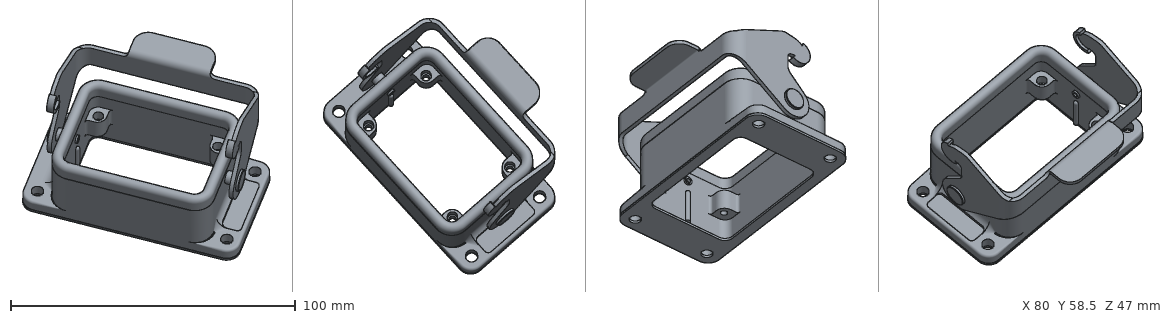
import cadquery as cq
import math

BASE_LENGTH = 80.0
BASE_WIDTH = 43.0
BASE_CORNER_RADIUS = 5.0
SKIRT = 0.2

BASE_SEAL_THICKNESS = 1.0
FLANGE_TOP = 5.0
FLANGE_ROUND = 1.0
MOUNT_HOLE_DIAMETER = 4.3
MOUNT_HOLE_X = 35.0
MOUNT_HOLE_Y = 16.0

WALL_TOP = 23.0
WALL_HALF_X = 29.7
WALL_HALF_Y = BASE_WIDTH / 2 - SKIRT
WALL_CORNER_RADIUS = 6.9

RIM_HALF_X = 29.8
RIM_HALF_Y = BASE_WIDTH / 2
RIM_WIDTH = 4.0
RIM_TOP = 28.6
RIM_CORNER_RADIUS = 7.4

CAVITY_HALF_X = RIM_HALF_X - RIM_WIDTH
CAVITY_HALF_Y = RIM_HALF_Y - RIM_WIDTH
CAVITY_CORNER_RADIUS = RIM_CORNER_RADIUS - RIM_WIDTH

BOSS_X = 22.1
BOSS_Y = 13.5
BOSS_RADIUS = 3.5
BOSS_HOLE_INSET = 3.0
BOSS_ROOT_RADIUS = 1.0
BOSS_TOP = 17.1
BOSS_HEIGHT = 8.0
BOSS_HOLE_DIAMETER = 2.5
BOSS_RECESS_DIAMETER = 3.7
BOSS_RECESS_DEPTH = 4.0

GUSSET_RADIUS = 5.0
GUSSET_HALF_WIDTH = 11.6
GUSSET_END_HALF_WIDTH = WALL_HALF_Y - WALL_CORNER_RADIUS
BLEND_RADIUS = 0.5
BLEND_STEPS = 6

PAD_INNER_X = 31.4
PAD_OUTER_X = 38.4
PAD_HALF_WIDTH = 11.4
PAD_CORNER_RADIUS = 1.6
PAD_HEIGHT = 0.2

RIB_RADIUS = 1.0
RIB_REACH = 1.2
RIB_TOP = 14.5

PIVOT_Z = 18.9
PIN_DIAMETER = 4.8
PIN_SHOULDER_CHAMFER = 0.6
PIN_SHOULDER_STEP = 0.2
PIN_HEAD_DIAMETER = 8.0
PIN_HEAD_THICKNESS = 1.0
PIN_HEAD_CHAMFER = 0.2
PIN_NECK_DIAMETER = 3.0
PIN_NECK_REACH = 0.7
PIN_END_HOLE_DIAMETER = 1.6
PIN_END_HOLE_DEPTH = 1.2

SHEET = 1.5
LEVER_HALF_X = 34.3
LEVER_BACK_Y = 27.0
LEVER_BEND_RADIUS = 6.0
BEND_EDGE_STEPS = 6
STRIP_BOTTOM = 29.2
STRIP_TOP = 38.4
PIVOT_EYE_RADIUS = 7.0
TOP_SLOPE_END = (4.3, 47.2)
TOP_SLOPE_START_Y = 24.6
SHOULDER_ROUND = 5.0
BROW_START = (-1.0, 46.3)
BROW_MIDDLE = (-2.9, 45.4)
HOOK_Y = -2.9
HOOK_Z = 41.4
HOOK_RADIUS = 4.7
HOOK_INNER_RADIUS = 3.4
HOOK_TOP_ANGLE = 70.0
MOUTH_TOP = 38.7
MOUTH_BACK_Y = 2.4
MOUTH_RADIUS = 1.8
MOUTH_LOWER_ROUND = 4.0
LIP_DEPTH = 2.6

TAB_HALF_X = 15.0
TAB_END_Y = 37.0
TAB_CORNER_RADIUS = 5.6
TAB_BEND_INNER_RADIUS = 0.5
TAB_BEND_OUTER_RADIUS = 2.5
TAB_TOP = STRIP_TOP + TAB_BEND_OUTER_RADIUS
TAB_FLARE_RADIUS = 2.2


def block(half_x, half_y, z_low, z_high, corner_radius):
    """Upright block centred on Z with rounded vertical corners."""
    return (
        cq.Workplane("XY").workplane(offset=z_low)
        .rect(2 * half_x, 2 * half_y).extrude(z_high - z_low)
        .edges("|Z").fillet(corner_radius)
    )


def cavity(z_low, z_high):
    return block(CAVITY_HALF_X, CAVITY_HALF_Y, z_low, z_high, CAVITY_CORNER_RADIUS)


def mount_holes():
    return (
        cq.Workplane("XY").rect(2 * MOUNT_HOLE_X, 2 * MOUNT_HOLE_Y, forConstruction=True)
        .vertices().circle(MOUNT_HOLE_DIAMETER / 2).extrude(FLANGE_TOP + PAD_HEIGHT)
    )


def pivot_cylinder(diameter):
    """Cylinder along the pivot axis, across the whole part."""
    return (
        cq.Workplane("YZ").center(0, PIVOT_Z)
        .circle(diameter / 2).extrude(BASE_LENGTH / 2, both=True)
    )


def four_corners(shape):
    """The shape and its mirror images in the other three quadrants."""
    pair = [shape, shape.mirror("YZ")]
    return pair + [each.mirror("XZ") for each in pair]


def point_loft(profiles, tip):
    """Solid with straight edges through closed profile wires to a single tip point."""
    point = cq.Vertex.makeVertex(*tip)
    return cq.Workplane(cq.occ_impl.shapes.loft(*profiles, point, cap=True, ruled=True))


def make_base_seal():
    seal = block(BASE_LENGTH / 2, BASE_WIDTH / 2, 0, BASE_SEAL_THICKNESS, BASE_CORNER_RADIUS)
    return seal.cut(cavity(0, BASE_SEAL_THICKNESS)).cut(mount_holes())


def flange_taper_cut():
    """Tool that rounds one long flange edge, fading out from the corner to the body."""
    start_x = BASE_LENGTH / 2 - BASE_CORNER_RADIUS
    fade_x = WALL_HALF_X - WALL_CORNER_RADIUS
    profile = (
        cq.Workplane("YZ", origin=(start_x, WALL_HALF_Y, FLANGE_TOP))
        .lineTo(-FLANGE_ROUND, 0)
        .radiusArc((0, -FLANGE_ROUND), FLANGE_ROUND).close().val()
    )
    return point_loft([profile], (fade_x, WALL_HALF_Y, FLANGE_TOP))


def flange_and_walls():
    """Flange with rounded ends whose rounding fades out along the sides, and the walls above."""
    corner_x = BASE_LENGTH / 2 - BASE_CORNER_RADIUS
    plate = block(
        BASE_LENGTH / 2, WALL_HALF_Y, BASE_SEAL_THICKNESS, FLANGE_TOP, BASE_CORNER_RADIUS
    ).faces(">Z").edges().fillet(FLANGE_ROUND)
    middle = (
        cq.Workplane("XY").workplane(offset=BASE_SEAL_THICKNESS)
        .rect(2 * corner_x, 2 * WALL_HALF_Y).extrude(FLANGE_TOP - BASE_SEAL_THICKNESS)
    )
    walls = block(WALL_HALF_X, WALL_HALF_Y, BASE_SEAL_THICKNESS, WALL_TOP, WALL_CORNER_RADIUS)
    body = plate.union(middle.union(walls))
    for taper in four_corners(flange_taper_cut()):
        body = body.cut(taper)
    return body


def gusset():
    """Concave gusset on the +X end wall, shrinking to a small fillet at each side."""
    def section(y, radius):
        return (
            cq.Workplane("XZ", origin=(WALL_HALF_X, y, FLANGE_TOP))
            .lineTo(radius, 0)
            .radiusArc((0, radius), radius).close()
        )

    body = section(GUSSET_HALF_WIDTH, GUSSET_RADIUS).extrude(2 * GUSSET_HALF_WIDTH)
    for side in (1, -1):
        profiles = [
            section(side * GUSSET_HALF_WIDTH, GUSSET_RADIUS).val(),
            section(side * GUSSET_END_HALF_WIDTH, BLEND_RADIUS).val(),
        ]
        body = body.union(cq.Workplane(cq.Solid.makeLoft(profiles, True)))
    return body


def corner_blend():
    """Small fillet at the foot of the +X +Y wall corner, fading out towards the long side."""
    corner = (WALL_HALF_X - WALL_CORNER_RADIUS, WALL_HALF_Y - WALL_CORNER_RADIUS, FLANGE_TOP)
    sections = []
    for step in range(BLEND_STEPS):
        angle = 90 * step / BLEND_STEPS
        radius = BLEND_RADIUS * (1 - step / BLEND_STEPS)
        radial = cq.Plane(corner, (1, 0, 0), (0, -1, 0)).rotated((0, angle, 0))
        sections.append(
            cq.Workplane(radial).moveTo(WALL_CORNER_RADIUS - BLEND_RADIUS, 0)
            .lineTo(WALL_CORNER_RADIUS + radius, 0)
            .radiusArc((WALL_CORNER_RADIUS, radius), radius)
            .lineTo(WALL_CORNER_RADIUS - BLEND_RADIUS, radius).close().val()
        )
    tip = (corner[0], WALL_HALF_Y, FLANGE_TOP)
    return point_loft(sections, tip)


def label_pad(z_low, z_high):
    middle_x = (PAD_INNER_X + PAD_OUTER_X) / 2
    half_x = (PAD_OUTER_X - PAD_INNER_X) / 2
    return block(half_x, PAD_HALF_WIDTH, z_low, z_high, PAD_CORNER_RADIUS).translate((middle_x, 0, 0))


def boss():
    """Screw boss in the +X +Y inner corner, blended into both walls."""
    inner_x = BOSS_X - BOSS_HOLE_INSET
    inner_y = BOSS_Y - BOSS_HOLE_INSET
    root = BOSS_ROOT_RADIUS
    outer_x = CAVITY_HALF_X + CAVITY_CORNER_RADIUS / 2
    outer_y = CAVITY_HALF_Y + CAVITY_CORNER_RADIUS / 2
    body = (
        cq.Workplane("XY").workplane(offset=BOSS_TOP - BOSS_HEIGHT)
        .moveTo(inner_x - root, CAVITY_HALF_Y)
        .radiusArc((inner_x, CAVITY_HALF_Y - root), root)
        .lineTo(inner_x, inner_y + BOSS_RADIUS)
        .radiusArc((inner_x + BOSS_RADIUS, inner_y), -BOSS_RADIUS)
        .lineTo(CAVITY_HALF_X - root, inner_y)
        .radiusArc((CAVITY_HALF_X, inner_y - root), root)
        .lineTo(outer_x, inner_y - root).lineTo(outer_x, outer_y)
        .lineTo(inner_x - root, outer_y).close().extrude(BOSS_HEIGHT)
    )
    top = cq.Workplane("XY", origin=(BOSS_X, BOSS_Y, BOSS_TOP))
    hole = top.circle(BOSS_HOLE_DIAMETER / 2).extrude(-BOSS_HEIGHT)
    recess = top.circle(BOSS_RECESS_DIAMETER / 2).extrude(-BOSS_RECESS_DEPTH)
    return body.cut(hole).cut(recess)


def rib():
    """Upright round rib with a domed tip, partly sunk into the +X end wall."""
    axis_x = CAVITY_HALF_X - RIB_REACH + RIB_RADIUS
    shaft_top = RIB_TOP - RIB_RADIUS
    shaft = (
        cq.Workplane("XY", origin=(axis_x, 0, BASE_SEAL_THICKNESS))
        .circle(RIB_RADIUS).extrude(shaft_top - BASE_SEAL_THICKNESS)
    )
    return shaft.union(cq.Workplane("XY", origin=(axis_x, 0, shaft_top)).sphere(RIB_RADIUS))


def make_housing():
    body = flange_and_walls().union(gusset()).union(gusset().mirror("YZ"))
    for blend in four_corners(corner_blend()):
        body = body.union(blend)
    pad_top = FLANGE_TOP + PAD_HEIGHT
    body = body.cut(label_pad(pad_top, WALL_TOP)).union(label_pad(BASE_SEAL_THICKNESS, pad_top))
    body = body.cut(cavity(BASE_SEAL_THICKNESS, WALL_TOP)).cut(mount_holes())
    for corner_boss in four_corners(boss()):
        body = body.union(corner_boss)
    body = body.union(rib()).union(rib().mirror("YZ"))
    return body.cut(pivot_cylinder(PIN_NECK_DIAMETER))


def make_rim_seal():
    centre_x = RIM_HALF_X - RIM_WIDTH / 2
    centre_y = RIM_HALF_Y - RIM_WIDTH / 2
    corner = RIM_CORNER_RADIUS - RIM_WIDTH / 2
    shoulder = RIM_TOP - RIM_WIDTH / 2
    path = (
        cq.Workplane("XY", origin=(0, 0, WALL_TOP)).moveTo(0, -centre_y)
        .lineTo(centre_x - corner, -centre_y).radiusArc((centre_x, corner - centre_y), -corner)
        .lineTo(centre_x, centre_y - corner).radiusArc((centre_x - corner, centre_y), -corner)
        .lineTo(corner - centre_x, centre_y).radiusArc((-centre_x, centre_y - corner), -corner)
        .lineTo(-centre_x, corner - centre_y).radiusArc((corner - centre_x, -centre_y), -corner)
        .close()
    )
    return (
        cq.Workplane("YZ", origin=(0, -centre_y, 0))
        .moveTo(-RIM_WIDTH / 2, WALL_TOP).lineTo(RIM_WIDTH / 2, WALL_TOP)
        .lineTo(RIM_WIDTH / 2, shoulder)
        .threePointArc((0, RIM_TOP), (-RIM_WIDTH / 2, shoulder)).close()
        .sweep(path)
    )


def make_pin(side):
    """Headed pivot pin along X; side is +1 or -1. Turned about its own axis."""
    head_outer = LEVER_HALF_X + PIN_HEAD_THICKNESS
    radius = PIN_DIAMETER / 2
    head_radius = PIN_HEAD_DIAMETER / 2
    neck_radius = PIN_NECK_DIAMETER / 2
    neck_end = CAVITY_HALF_X - PIN_NECK_REACH
    hole_radius = PIN_END_HOLE_DIAMETER / 2
    hole_end = neck_end + PIN_END_HOLE_DEPTH
    half_section = [
        (hole_end, 0),
        (hole_end, hole_radius),
        (neck_end, hole_radius),
        (neck_end, neck_radius),
        (WALL_HALF_X, neck_radius),
        (WALL_HALF_X, radius - PIN_SHOULDER_STEP),
        (WALL_HALF_X + PIN_SHOULDER_CHAMFER, radius),
        (LEVER_HALF_X, radius),
        (LEVER_HALF_X, head_radius),
        (head_outer - PIN_HEAD_CHAMFER, head_radius),
        (head_outer, head_radius - PIN_HEAD_CHAMFER),
        (head_outer, 0),
    ]
    pin = cq.Workplane("XY").polyline(half_section).close().revolve(360, (0, 0, 0), (1, 0, 0))
    pin = pin.translate((0, 0, PIVOT_Z))
    return pin if side > 0 else pin.mirror("YZ")


def polar(radius, angle):
    """Point (Y, Z) about the hook centre, angle in degrees from -Y towards +Z."""
    return (
        HOOK_Y - radius * math.cos(math.radians(angle)),
        HOOK_Z + radius * math.sin(math.radians(angle)),
    )


def hook_mouth_angle():
    """Negative angle where the flat roof of the hook mouth meets the inner hook circle."""
    return math.degrees(math.asin((HOOK_Z - MOUTH_TOP) / HOOK_INNER_RADIUS)) - 180


def eye_tangent_angle():
    """Direction from the pivot, from +Y towards +Z, to where the lower edge touches the eye."""
    rise = STRIP_BOTTOM - PIVOT_Z
    reach = math.hypot(LEVER_BACK_Y, rise)
    return math.atan2(rise, LEVER_BACK_Y) - math.acos(PIVOT_EYE_RADIUS / reach)


def lower_edge_slope():
    """Angle at which the lower edge of the arms falls from the strip to the eye."""
    return eye_tangent_angle() + math.pi / 2


def lever_side():
    """Side outline of the lever, extruded across its whole width."""
    mouth_angle = hook_mouth_angle()
    tangent = eye_tangent_angle()
    eye_start = (
        PIVOT_EYE_RADIUS * math.cos(tangent),
        PIVOT_Z + PIVOT_EYE_RADIUS * math.sin(tangent),
    )
    eye_half = PIVOT_EYE_RADIUS * math.sqrt(0.5)
    eye_end = (-eye_half, PIVOT_Z + eye_half)
    throat = (MOUTH_BACK_Y, eye_end[1] + MOUTH_BACK_Y + eye_half)
    mouth_mid = MOUTH_RADIUS * (1 - math.sqrt(0.5))
    side = (
        cq.Workplane("YZ", origin=(-LEVER_HALF_X, 0, 0))
        .moveTo(LEVER_BACK_Y, STRIP_TOP)
        .lineTo(LEVER_BACK_Y, STRIP_BOTTOM)
        .lineTo(*eye_start)
        .threePointArc((0, PIVOT_Z - PIVOT_EYE_RADIUS), eye_end)
        .lineTo(*throat)
        .lineTo(MOUTH_BACK_Y, MOUTH_TOP - MOUTH_RADIUS)
        .threePointArc(
            (MOUTH_BACK_Y - mouth_mid, MOUTH_TOP - mouth_mid),
            (MOUTH_BACK_Y - MOUTH_RADIUS, MOUTH_TOP),
        )
        .lineTo(*polar(HOOK_INNER_RADIUS, mouth_angle))
        .lineTo(*polar(HOOK_RADIUS, mouth_angle))
        .threePointArc(polar(HOOK_RADIUS, 0), polar(HOOK_RADIUS, HOOK_TOP_ANGLE))
        .lineTo(*polar(HOOK_INNER_RADIUS, HOOK_TOP_ANGLE))
        .threePointArc(BROW_MIDDLE, BROW_START)
        .lineTo(*TOP_SLOPE_END)
        .lineTo(TOP_SLOPE_START_Y, STRIP_TOP)
        .close().extrude(2 * LEVER_HALF_X)
    )

    def edge_at(point):
        return cq.selectors.NearestToPointSelector((0, *point))

    side = side.edges(edge_at(TOP_SLOPE_END)).fillet(SHOULDER_ROUND)
    return side.edges(edge_at(throat)).fillet(MOUTH_LOWER_ROUND)


def bent_strip():
    """U-shaped sheet seen from above, as tall as the lever."""
    front_y = HOOK_Y - 2 * HOOK_RADIUS
    depth = LEVER_BACK_Y - front_y

    def slab(half_x, back_y, radius):
        return (
            cq.Workplane("XY").center(0, back_y - depth / 2)
            .rect(2 * half_x, depth).extrude(TAB_TOP * 2)
            .edges("|Z and >Y").fillet(radius)
        )

    return slab(LEVER_HALF_X, LEVER_BACK_Y, LEVER_BEND_RADIUS).cut(
        slab(LEVER_HALF_X - SHEET, LEVER_BACK_Y - SHEET, LEVER_BEND_RADIUS - SHEET)
    )


def strip_floor_cut():
    """Everything below the straight lower edge of the strip between the bends."""
    half_x = LEVER_HALF_X - LEVER_BEND_RADIUS
    return (
        cq.Workplane("XY").rect(2 * half_x, 2 * LEVER_BACK_Y).extrude(STRIP_BOTTOM)
    )


def bend_floor_cut():
    """Everything below the lower edge of the +X bend, which stays level across the sheet as it falls."""
    centre_x = LEVER_HALF_X - LEVER_BEND_RADIUS
    centre_y = LEVER_BACK_Y - LEVER_BEND_RADIUS
    slope = math.tan(lower_edge_slope())

    def edge(radius):
        points = []
        for step in range(BEND_EDGE_STEPS + 1):
            turn = math.pi / 2 * step / BEND_EDGE_STEPS
            fall = slope * LEVER_BEND_RADIUS * (1 - math.cos(turn))
            points.append(cq.Vector(
                centre_x + radius * math.sin(turn),
                centre_y + radius * math.cos(turn),
                STRIP_BOTTOM - fall,
            ))
        return cq.Edge.makeSpline(points)

    lower_edge = cq.Face.makeRuledSurface(
        edge(LEVER_BEND_RADIUS + SHEET), edge(LEVER_BEND_RADIUS - 2 * SHEET)
    )
    return cq.Workplane(cq.Solid.extrudeLinear(lower_edge, cq.Vector(0, 0, -STRIP_BOTTOM / 2)))


def hook_lip(side):
    """Inward lip around the hook of one arm."""
    mouth_angle = hook_mouth_angle()
    lip = (
        cq.Workplane("YZ", origin=(LEVER_HALF_X - LIP_DEPTH, 0, 0))
        .moveTo(*polar(HOOK_INNER_RADIUS, mouth_angle))
        .lineTo(*polar(HOOK_RADIUS, mouth_angle))
        .threePointArc(polar(HOOK_RADIUS, 0), polar(HOOK_RADIUS, HOOK_TOP_ANGLE))
        .lineTo(*polar(HOOK_INNER_RADIUS, HOOK_TOP_ANGLE))
        .threePointArc(polar(HOOK_INNER_RADIUS, 0), polar(HOOK_INNER_RADIUS, mouth_angle))
        .close().extrude(LIP_DEPTH)
    )
    return lip if side > 0 else lip.mirror("YZ")


def thumb_tab():
    """Tab bent outward from the strip, flared where it leaves the strip."""
    inner_y = LEVER_BACK_Y - SHEET
    bend_end_y = inner_y + TAB_BEND_OUTER_RADIUS
    under_z = TAB_TOP - SHEET
    neck_half_x = TAB_HALF_X + TAB_FLARE_RADIUS
    flare_top = STRIP_TOP + TAB_FLARE_RADIUS
    profile = (
        cq.Workplane("YZ", origin=(-neck_half_x, 0, 0))
        .moveTo(inner_y, STRIP_TOP)
        .radiusArc((bend_end_y, TAB_TOP), TAB_BEND_OUTER_RADIUS)
        .lineTo(TAB_END_Y, TAB_TOP).lineTo(TAB_END_Y, under_z)
        .lineTo(LEVER_BACK_Y + TAB_BEND_INNER_RADIUS, under_z)
        .radiusArc((LEVER_BACK_Y, under_z - TAB_BEND_INNER_RADIUS), -TAB_BEND_INNER_RADIUS)
        .lineTo(LEVER_BACK_Y, STRIP_TOP).close().extrude(2 * neck_half_x)
    )
    flare = (
        cq.Workplane("XZ", origin=(0, inner_y, 0)).moveTo(-neck_half_x, STRIP_TOP)
        .radiusArc((-TAB_HALF_X, flare_top), -TAB_FLARE_RADIUS)
        .lineTo(-TAB_HALF_X, TAB_TOP).lineTo(TAB_HALF_X, TAB_TOP).lineTo(TAB_HALF_X, flare_top)
        .radiusArc((neck_half_x, STRIP_TOP), -TAB_FLARE_RADIUS)
        .close().extrude(-SHEET)
    )
    length = TAB_END_Y - inner_y
    plan = (
        cq.Workplane("XY", origin=(0, inner_y + length / 2, STRIP_TOP))
        .rect(2 * TAB_HALF_X, length).extrude(TAB_TOP - STRIP_TOP)
        .edges("|Z and >Y").fillet(TAB_CORNER_RADIUS)
    )
    return profile.intersect(flare.union(plan))


def make_lever():
    lever = bent_strip().intersect(lever_side()).cut(strip_floor_cut())
    lever = lever.cut(bend_floor_cut()).cut(bend_floor_cut().mirror("YZ"))
    for side in (1, -1):
        lever = lever.union(hook_lip(side))
    return lever.union(thumb_tab()).cut(pivot_cylinder(PIN_DIAMETER))


base_seal = make_base_seal()
housing = make_housing()
rim_seal = make_rim_seal()
lever = make_lever()
pins = [make_pin(side) for side in (1, -1)]

result = cq.Compound.makeCompound(
    [base_seal.val(), housing.val(), rim_seal.val(), lever.val(), *[pin.val() for pin in pins]]
)